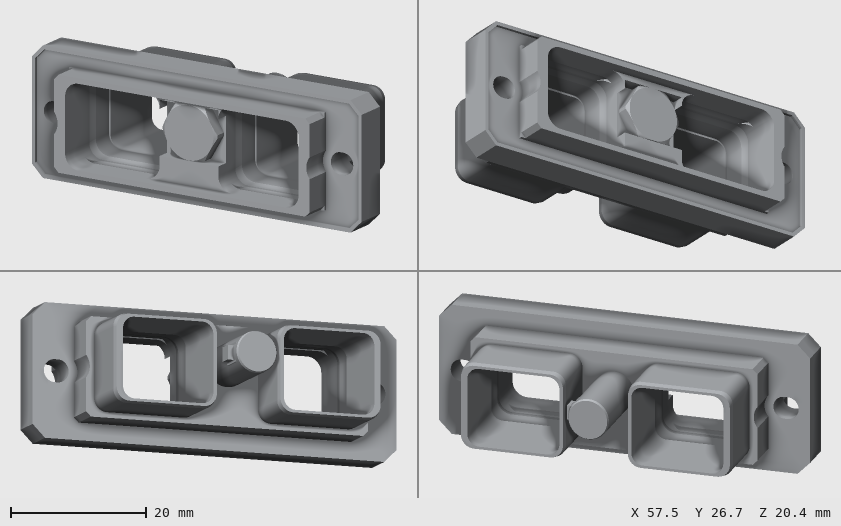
import cadquery as cq
import math


flange_length = 57.45
flange_height = 20.35
flange_front = 4.1
flange_rear = 9.15
flange_corner = 1.95
rim_width = 0.6
rim_depth = 0.5

slot_spacing = 50.0
slot_length = 3.9
slot_width = 3.45
relief_radius = 2.7
relief_depth = 0.6

body_length = 44.45
body_height = 15.05
body_rear = 14.25
body_corner = 0.75

sleeve_center = 12.9
sleeve_width = 16.15
sleeve_height = 13.4
sleeve_corner = 2.0
sleeve_rear = 23.1
sleeve_taper_length = 0.9
sleeve_taper_inset = 0.2

cavity_width = 40.7
cavity_height = 13.3
cavity_corner = 2.3
web_width = 10.2
web_front = 1.95
undercut_front = 4.5
undercut_rear = 6.1
undercut_depth = 0.2
undercut_side_gap = 0.7
taper_start = 6.65
taper_end = 8.1
taper_inset = 0.25
seat_rear = 11.7

bore_center = 12.7
bore_width = 14.25
bore_height = 12.25
bore_corner = 1.8

pin_height = 1.5
pin_diameter = 6.3
pin_rear = 26.65
pin_chamfer_length = 0.35
pin_chamfer_inset = 0.2
pocket_floor = 4.0
pocket_bottom = -2.9
pocket_top = 5.75
hex_flats = 8.5
hex_corner_diameter = 9.55
hex_chamfer_angle = 30.0

clip_y = 23.55
clip_base_x = 2.75
clip_base_end = 2.95
clip_base_length = 3.7
clip_base_height = 3.0
clip_stem_length = 2.05
clip_head_start = 3.7
clip_head_end = 3.9
clip_head_length = 2.2
clip_head_height = 2.2


def section(y):
    """Workplane across Y at y; local x is X and local y is Z, extruding toward +Y."""
    return cq.Workplane(cq.Plane(origin=(0, y, 0), xDir=(1, 0, 0), normal=(0, -1, 0)))


def block(width, height, y_start, y_end, x=0.0, z=0.0):
    """Box across X and Z, running from y_start to y_end."""
    return section(y_start).center(x, z).rect(width, height).extrude(y_start - y_end)


def rounded_block(width, height, corner, y_start, y_end, x=0.0):
    """Box with its four long edges rounded."""
    return block(width, height, y_start, y_end, x).edges("|Y").fillet(corner)


def rounded_taper(start_size, end_size, corner, y_start, y_end, x):
    """Rounded box whose width and height change evenly along Y."""
    start = cq.Sketch().rect(*start_size).vertices().fillet(corner)
    end = cq.Sketch().rect(*end_size).vertices().fillet(corner)
    end_location = cq.Location(cq.Vector(0, 0, y_start - y_end))
    return section(y_start).center(x, 0).placeSketch(start, end.moved(end_location)).loft()


def make_flange():
    """Corner-cut plate with a raised front rim and two mounting slots."""
    outline = block(flange_length, flange_height, flange_front, flange_rear)
    outline = outline.edges("|Y").chamfer(flange_corner)
    recess = block(
        flange_length - 2 * rim_width,
        flange_height - 2 * rim_width,
        flange_front,
        flange_front + rim_depth,
    )
    recess_corner = flange_corner - rim_width * (2 - math.sqrt(2))
    recess = recess.edges("|Y").chamfer(recess_corner)
    slots = (
        section(flange_front)
        .pushPoints([(-slot_spacing / 2, 0), (slot_spacing / 2, 0)])
        .slot2D(slot_length, slot_width)
        .extrude(flange_front - flange_rear)
    )
    return outline.cut(recess).cut(slots)


def make_body():
    """Chamfered block through the flange, hollowed at its ends beside the mounting slots."""
    body = block(body_length, body_height, 0, body_rear).edges("|Y").chamfer(body_corner)
    foot = block(body_length, body_height, flange_front, flange_front + rim_depth)
    relief_x = body_length / 2 - relief_depth + relief_radius
    reliefs = (
        section(0)
        .pushPoints([(-relief_x, 0), (relief_x, 0)])
        .circle(relief_radius)
        .extrude(-body_rear)
    )
    return body.union(foot).cut(reliefs)


def make_sleeve(side):
    """Rounded sleeve behind the body, slightly tapered at its rear end."""
    x = side * sleeve_center
    taper_y = sleeve_rear - sleeve_taper_length
    straight = rounded_block(sleeve_width, sleeve_height, sleeve_corner, flange_rear, taper_y, x)
    tip = rounded_taper(
        (sleeve_width, sleeve_height),
        (sleeve_width - 2 * sleeve_taper_inset, sleeve_height - 2 * sleeve_taper_inset),
        sleeve_corner,
        taper_y,
        sleeve_rear,
        x,
    )
    return straight.union(tip)


def make_cell(side):
    """Hollow of one side, narrowing in stages from the web front to the sleeve bore."""
    width = (cavity_width - web_width) / 2
    x = side * (cavity_width + web_width) / 4
    seat_width = width - 2 * taper_inset
    seat_height = cavity_height - 2 * taper_inset
    mouth = rounded_block(width, cavity_height, cavity_corner, web_front, taper_start, x)
    undercut = (
        section(undercut_front)
        .center(x, 0)
        .rect(width - 2 * undercut_side_gap, cavity_height + 2 * undercut_depth)
        .workplane(offset=undercut_front - undercut_rear)
        .rect(width - 2 * cavity_corner, cavity_height)
        .loft()
    )
    taper = rounded_taper(
        (width, cavity_height), (seat_width, seat_height), cavity_corner, taper_start, taper_end, x
    )
    seat = rounded_block(seat_width, seat_height, cavity_corner, taper_end, seat_rear, x)
    bore = rounded_block(
        bore_width, bore_height, bore_corner, seat_rear, sleeve_rear, side * bore_center
    )
    return mouth.union(undercut).union(taper).union(seat).union(bore)


def make_hex_head():
    """Bevelled hexagon filling the depth of the web pocket."""
    thickness = pocket_floor - web_front
    head_axis = (0, pin_height)
    sharp_diameter = hex_flats / math.cos(math.pi / 6)
    head = section(web_front).center(*head_axis).polygon(6, sharp_diameter).extrude(-thickness)
    bevel_inset = (hex_corner_diameter - hex_flats) / 2
    bevel_length = bevel_inset * math.tan(math.radians(hex_chamfer_angle))
    envelope = (
        section(web_front)
        .center(*head_axis)
        .circle(hex_corner_diameter / 2)
        .extrude(-thickness)
        .faces("<Y")
        .chamfer(bevel_length, bevel_inset)
    )
    return head.intersect(envelope)


def make_pin():
    """Round pin behind the body, bevelled at its tip."""
    return (
        section(body_rear)
        .center(0, pin_height)
        .circle(pin_diameter / 2)
        .extrude(body_rear - pin_rear)
        .faces(">Y")
        .chamfer(pin_chamfer_length, pin_chamfer_inset)
    )


def make_clip():
    """Base plate on the pin, a narrower stem and a slightly longer end plate."""
    plates = [
        (clip_base_x, clip_base_end, clip_base_length, clip_base_height),
        (clip_base_x, clip_head_end, clip_stem_length, clip_head_height),
        (clip_head_start, clip_head_end, clip_head_length, clip_head_height),
    ]
    clip = cq.Workplane()
    for x_start, x_end, length, height in plates:
        plate = cq.Workplane().box(x_end - x_start, length, height)
        clip = clip.union(plate.translate(((x_start + x_end) / 2, clip_y, pin_height)))
    return clip


result = make_flange().union(make_body())
for side in (-1, 1):
    result = result.union(make_sleeve(side))

result = result.cut(rounded_block(cavity_width, cavity_height, cavity_corner, 0, web_front))
for side in (-1, 1):
    result = result.cut(make_cell(side))

pocket = block(
    web_width,
    pocket_top - pocket_bottom,
    web_front,
    pocket_floor,
    z=(pocket_top + pocket_bottom) / 2,
)
result = result.cut(pocket)
result = result.union(make_hex_head()).union(make_pin()).union(make_clip())